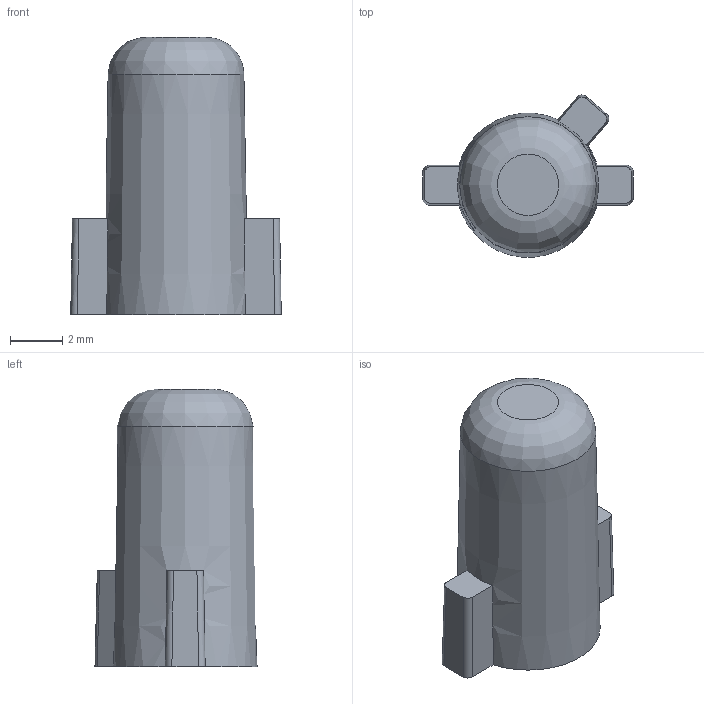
import cadquery as cq
import math

draft_angle = 1.0
body_height = 10.57
body_base_radius = 2.75
dome_radius = 1.42

fin_height = 3.66
fin_base_width = 1.52
fin_corner_radius = 0.25
fin_reach = 4.015

fin_angles = (0.0, 49.5, 180.0)


def make_body():
    """Tapered round post with a rounded top edge and a small flat on top."""
    top_radius = body_base_radius - body_height * math.tan(math.radians(draft_angle))
    profile = (
        cq.Workplane("XZ")
        .polyline([(0, 0), (body_base_radius, 0), (top_radius, body_height), (0, body_height)])
        .close()
    )
    post = profile.revolve(360, (0, 0, 0), (0, 1, 0))
    return post.faces(">Z").edges().fillet(dome_radius)


def make_fin(angle):
    """Drafted fin with rounded upright corners, running from the axis outward."""
    fin = (
        cq.Workplane("XY")
        .center(fin_reach / 2, 0)
        .rect(fin_reach, fin_base_width)
        .extrude(fin_height, taper=draft_angle)
        .edges("not #Z")
        .fillet(fin_corner_radius)
    )
    return fin.rotate((0, 0, 0), (0, 0, 1), angle)


result = make_body()
for fin_angle in fin_angles:
    result = result.union(make_fin(fin_angle))